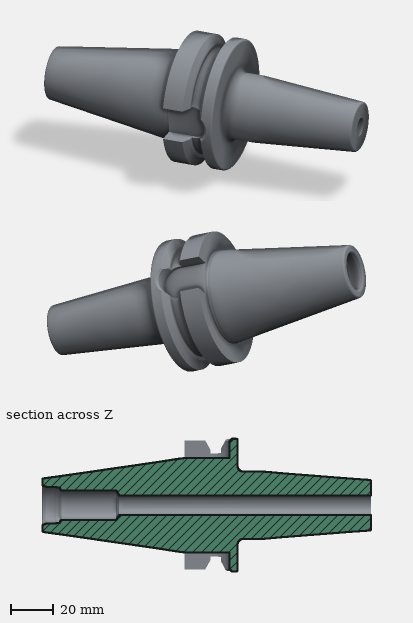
import cadquery as cq
import math

gauge_x = 65.4
total_length = 155.4
flange_start_x = gauge_x + 2.0
flange_end_x = gauge_x + 27.0

gauge_radius = 22.225
taper_slope = 7.0 / 48.0
taper_end_radius = gauge_radius - gauge_x * taper_slope
taper_end_fillet = 1.0
collar_radius = 22.45
collar_cone_start_x = gauge_x + 0.9
collar_cone_end_x = gauge_x + 1.4

flange_radius = 31.5
flange_edge_fillet = 1.0
groove_center_x = gauge_x + 16.6
groove_mouth_width = 9.75
groove_floor_width = 5.0
groove_floor_radius = 25.55
groove_flank_angle = math.radians(60)

neck_radius = 16.0
neck_fillet = 2.5
tip_radius = 12.0
nose_angle = math.radians(4.5)
nose_start_x = total_length - (neck_radius - tip_radius) / math.tan(nose_angle)
tip_fillet = 1.0

slot_half_width = 8.1
slot_floor_y = 22.5
slot_end_x = flange_start_x + 21.0
slot_chamfer_y = 30.2
slot_cut_top_y = flange_radius + 1.0

mouth_fillet = 1.2
entry_radius = 8.9
counterbore_start_x = 1.9
counterbore_radius = 8.6
counterbore_end_x = 6.0
pilot_radius = 8.35
pilot_start_x = 6.8
pilot_end_x = 8.3
thread_radius = 6.75
thread_chamfer = 0.9
thread_end_x = 35.0
through_radius = 4.5
drill_point_angle = math.radians(59)
drill_point_length = (thread_radius - through_radius) / math.tan(drill_point_angle)


def revolve_about_x(profile):
    return profile.close().revolve(360, (0, 0, 0), (1, 0, 0))


def make_body():
    mouth_half = groove_mouth_width / 2
    floor_half = groove_floor_width / 2
    flank_drop = (mouth_half - floor_half) * math.tan(groove_flank_angle)
    flank_radius = flange_radius - flank_drop
    profile = (
        cq.Workplane("XZ")
        .lineTo(0, taper_end_radius)
        .lineTo(gauge_x, gauge_radius)
        .lineTo(collar_cone_start_x, gauge_radius)
        .lineTo(collar_cone_end_x, collar_radius)
        .lineTo(flange_start_x, collar_radius)
        .lineTo(flange_start_x, flange_radius)
        .lineTo(groove_center_x - mouth_half, flange_radius)
        .lineTo(groove_center_x - floor_half, flank_radius)
        .lineTo(groove_center_x - floor_half, groove_floor_radius)
        .lineTo(groove_center_x + floor_half, groove_floor_radius)
        .lineTo(groove_center_x + floor_half, flank_radius)
        .lineTo(groove_center_x + mouth_half, flange_radius)
        .lineTo(flange_end_x, flange_radius)
        .lineTo(flange_end_x, neck_radius)
        .lineTo(nose_start_x, neck_radius)
        .lineTo(total_length, tip_radius)
        .lineTo(total_length, 0)
    )
    return revolve_about_x(profile)


def fillet_circle(body, x, circle_radius, fillet_radius):
    """Rounds the circular edge that lies at the given X and has the given radius."""

    def is_wanted(edge):
        return math.isclose(edge.Center().x, x, abs_tol=1e-3) and math.isclose(
            edge.radius(), circle_radius, abs_tol=1e-3
        )

    return body.edges("%CIRCLE").filter(is_wanted).fillet(fillet_radius)


def round_edges(body):
    body = fillet_circle(body, flange_end_x, neck_radius, neck_fillet)
    body = fillet_circle(body, flange_end_x, flange_radius, flange_edge_fillet)
    body = fillet_circle(body, 0, taper_end_radius, taper_end_fillet)
    return fillet_circle(body, total_length, tip_radius, tip_fillet)


def make_bore():
    profile = (
        cq.Workplane("XZ")
        .lineTo(0, entry_radius + mouth_fillet)
        .radiusArc((mouth_fillet, entry_radius), -mouth_fillet)
        .lineTo(counterbore_start_x, counterbore_radius)
        .lineTo(counterbore_end_x, counterbore_radius)
        .lineTo(pilot_start_x, pilot_radius)
        .lineTo(pilot_end_x, pilot_radius)
        .lineTo(pilot_end_x, thread_radius + thread_chamfer)
        .lineTo(pilot_end_x + thread_chamfer, thread_radius)
        .lineTo(thread_end_x, thread_radius)
        .lineTo(thread_end_x + drill_point_length, through_radius)
        .lineTo(total_length, through_radius)
        .lineTo(total_length, 0)
    )
    return revolve_about_x(profile)


def make_drive_slot():
    """Cutter for the +Y slot, open toward the taper, rounded and chamfered at the nose end."""
    slot_center_x = slot_end_x - slot_half_width
    slot = (
        cq.Workplane("XZ", origin=(0, slot_cut_top_y, 0))
        .moveTo(gauge_x, -slot_half_width)
        .lineTo(slot_center_x, -slot_half_width)
        .threePointArc((slot_end_x, 0), (slot_center_x, slot_half_width))
        .lineTo(gauge_x, slot_half_width)
        .close()
        .extrude(slot_cut_top_y - slot_floor_y)
    )
    chamfer_height = slot_cut_top_y - slot_chamfer_y
    chamfer = (
        cq.Workplane("ZY", origin=(slot_center_x, 0, 0))
        .moveTo(0, slot_chamfer_y)
        .lineTo(slot_half_width, slot_chamfer_y)
        .lineTo(slot_half_width + chamfer_height, slot_cut_top_y)
        .lineTo(0, slot_cut_top_y)
        .close()
        .revolve(180, (0, 0, 0), (0, 1, 0))
    )
    return slot.union(chamfer)


drive_slot = make_drive_slot()
result = round_edges(make_body()).cut(make_bore()).cut(drive_slot).cut(drive_slot.mirror("XZ"))